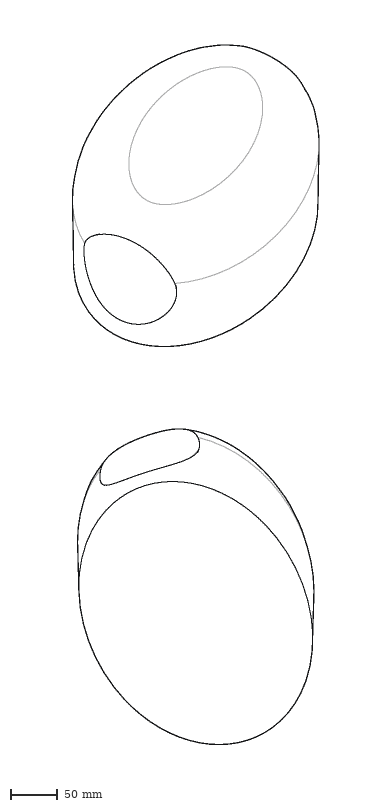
import cadquery as cq

length = 327.0
base_width = 240.3
shoulder_width = 243.5
height = 172.0
crown_radius = 60.8

scoop_radius = 65.7
scoop_offset = 176.5
scoop_height = 95.0

shoulder_height = height - crown_radius


def make_lower_body():
    """Elliptical wall that widens slightly from the base to the shoulder."""
    return (
        cq.Workplane("XY")
        .ellipse(base_width / 2, length / 2)
        .workplane(offset=shoulder_height)
        .ellipse(shoulder_width / 2, length / 2)
        .loft(combine=True)
    )


def make_crown():
    """Elliptical cap with a large round leading to the flat top."""
    rounded_block = (
        cq.Workplane("XY")
        .ellipse(shoulder_width / 2, length / 2)
        .extrude(height)
        .faces(">Z")
        .edges()
        .fillet(crown_radius)
    )
    return rounded_block.copyWorkplane(cq.Workplane("XY", origin=(0, 0, shoulder_height))).split(keepTop=True)


def make_scoop(side):
    """Sphere that hollows the end on the given side of Y."""
    return cq.Workplane("XY", origin=(0, side * scoop_offset, scoop_height)).sphere(scoop_radius)


result = make_lower_body().union(make_crown())
for side in (-1, 1):
    result = result.cut(make_scoop(side))